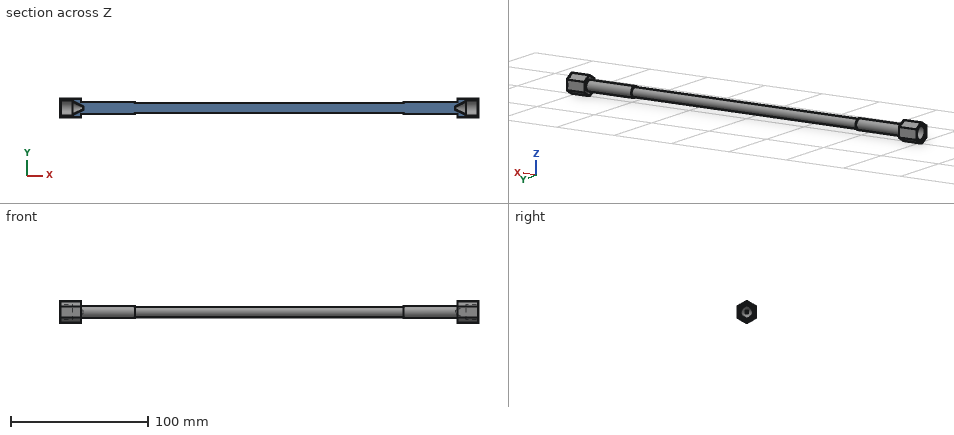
import cadquery as cq

total_length = 304.8
nut_across_flats = 13.7
nut_length = 15.2
sleeve_diameter = 8.8
sleeve_end = 54.5
hose_diameter = 7.5
mouth_diameter = 12.2
lead_in_depth = 0.75
bore_diameter = 10.7
bore_depth = 9.0
seat_diameter = 9.5
seat_floor_diameter = 2.0
seat_depth = 16.8

half_length = total_length / 2


def make_hose():
    """Slender round hose running between the two end fittings, along X."""
    hose_length = total_length - 2 * sleeve_end
    return cq.Workplane("YZ").circle(hose_diameter / 2).extrude(hose_length / 2, both=True)


def make_cone(outer_diameter, inner_diameter, start_depth, end_depth):
    """Truncated cone narrowing along +X, with depths measured from the left end face."""
    cone = cq.Solid.makeCone(
        outer_diameter / 2,
        inner_diameter / 2,
        end_depth - start_depth,
        cq.Vector(start_depth - half_length, 0, 0),
        cq.Vector(1, 0, 0),
    )
    return cq.Workplane(cone)


def make_left_fitting():
    """Crimp sleeve and hexagonal nut with a chamfered bore ending in a conical seat."""
    end_plane = cq.Workplane("YZ", origin=(-half_length, 0, 0))
    nut = end_plane.polygon(6, nut_across_flats, circumscribed=True).extrude(nut_length)
    sleeve = end_plane.circle(sleeve_diameter / 2).extrude(sleeve_end)
    lead_in = make_cone(mouth_diameter, bore_diameter, 0, lead_in_depth)
    bore = end_plane.circle(bore_diameter / 2).extrude(bore_depth)
    seat = make_cone(seat_diameter, seat_floor_diameter, bore_depth, seat_depth)
    return nut.union(sleeve).cut(lead_in).cut(bore).cut(seat)


left_fitting = make_left_fitting()
right_fitting = left_fitting.mirror("YZ")
result = make_hose().union(left_fitting).union(right_fitting)